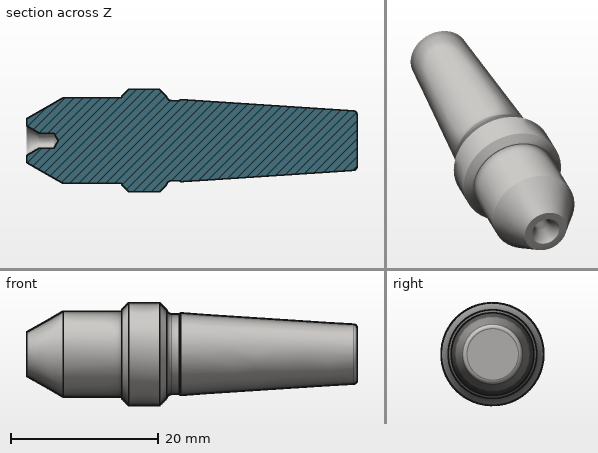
import cadquery as cq
import math

length = 45.0

body_radius = 11.7 / 2
nose_radius = 3.0
nose_length = 4.95

collar_radius = 14.0 / 2
collar_foot_radius = 6.05
collar_start = 12.9
collar_rim_end = 18.1
collar_chamfer = collar_radius - collar_foot_radius

groove_radius = 11.0 / 2
groove_start = 19.7
groove_end = 20.8
blend_start = collar_rim_end + collar_chamfer

shank_start = 20.95
shank_start_radius = 5.62
shank_end_radius = 4.05
end_rounding = 0.6

countersink_radius = 3.95 / 2
pilot_radius = 2.0 / 2
countersink_half_angle = 30.0
pilot_length = 2.0
drill_half_angle = 60.0


def cone_length(large_radius, small_radius, half_angle):
    return (large_radius - small_radius) / math.tan(math.radians(half_angle))


def make_body():
    blend_run = groove_start - blend_start
    blend_drop = collar_foot_radius - groove_radius
    blend_radius = (blend_run**2 + blend_drop**2) / (2 * blend_drop)
    profile = (
        cq.Workplane("XY")
        .lineTo(0, nose_radius)
        .lineTo(nose_length, body_radius)
        .lineTo(collar_start, body_radius)
        .lineTo(collar_start, collar_foot_radius)
        .lineTo(collar_start + collar_chamfer, collar_radius)
        .lineTo(collar_rim_end, collar_radius)
        .lineTo(blend_start, collar_foot_radius)
        .radiusArc((groove_start, groove_radius), -blend_radius)
        .lineTo(groove_end, groove_radius)
        .lineTo(shank_start, shank_start_radius)
        .lineTo(length, shank_end_radius)
        .lineTo(length, 0)
        .close()
    )
    body = profile.revolve(360, (0, 0, 0), (1, 0, 0))
    return body.faces(">X").edges().fillet(end_rounding)


def make_center_hole():
    countersink_depth = cone_length(countersink_radius, pilot_radius, countersink_half_angle)
    pilot_end = countersink_depth + pilot_length
    tip = pilot_end + cone_length(pilot_radius, 0, drill_half_angle)
    return (
        cq.Workplane("XY")
        .lineTo(0, countersink_radius)
        .lineTo(countersink_depth, pilot_radius)
        .lineTo(pilot_end, pilot_radius)
        .lineTo(tip, 0)
        .close()
        .revolve(360, (0, 0, 0), (1, 0, 0))
    )


result = make_body().cut(make_center_hole())